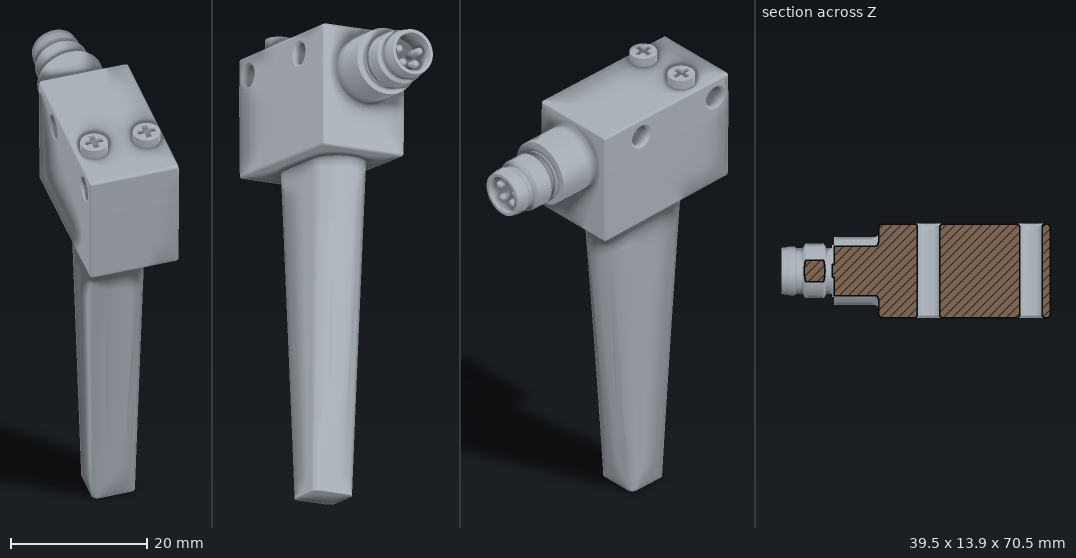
import cadquery as cq
import math


OVERALL_HEIGHT = 70.45

HOUSING_LENGTH = 25.3
HOUSING_WIDTH = 13.9
HOUSING_TOP = 6.5
HOUSING_BOTTOM_NEAR = -12.1
HOUSING_BOTTOM_FAR = -11.7
HOUSING_DRAFT = 0.5
HOUSING_EDGE_RADIUS = 0.5

HOLE_FIRST_X = 7.4
HOLE_SPACING = 15.0
HOLE_Z = 3.4
HOLE_DIAMETER = 3.25
HOLE_CHAMFER = 0.35

SLEEVE_RADIUS = 5.0
SLEEVE_LENGTH = 6.55
SLEEVE_ROOT_RADIUS = 0.5
SLEEVE_EMBED = 0.7
CONNECTOR_LENGTH = 14.2
PLUG_AXIS_Z = -0.3
NECK_RADIUS = 3.4
COLLAR_RADIUS = 4.0
COLLAR_START = 7.6
COLLAR_END = 11.1
COLLAR_CHAMFER = 0.4
SEAT_RING_RADIUS = 3.8
SEAT_RING_LENGTH = 0.3
BEAD_RADIUS = 3.6
BEAD_START = 12.1
BEAD_CHAMFER = 0.2
BEAD_END = 13.0
BORE_RADIUS = 2.9
BORE_DEPTH = 4.2

PIN_RADIUS = 0.55
PIN_LENGTH = 3.5
PIN_TIP_ROUNDING = 0.5
UPPER_PIN_Y = 1.7
UPPER_PIN_Z = 0.5
LOWER_PIN_Y = 1.05
LOWER_PIN_Z = -1.5

SCREW_X = 18.2
SCREW_SPACING = 8.1
SCREW_NECK_RADIUS = 1.05
SCREW_HEAD_RADIUS = 2.05
SCREW_HEAD_BOTTOM = 6.75
SCREW_PEAK = 8.4
DOME_RADIUS = 10.6
RECESS_LENGTH = 2.75
RECESS_WIDTH = 0.85
RECESS_DEPTH = 0.7
RECESS_CORNER = math.hypot(RECESS_WIDTH, RECESS_WIDTH) / 2
DOME_CENTRE_Z = SCREW_PEAK - math.sqrt(DOME_RADIUS**2 - RECESS_CORNER**2)
SCREW_HEAD_RIM = DOME_CENTRE_Z + math.sqrt(DOME_RADIUS**2 - SCREW_HEAD_RADIUS**2)
SCREW_HEAD_TOP = DOME_CENTRE_Z + DOME_RADIUS

LEVER_TOP_Z = HOUSING_BOTTOM_NEAR
LEVER_TIP_Z = SCREW_PEAK - OVERALL_HEIGHT
LEVER_BANDS_Z = (-22.0, -51.9)
LEVER_TOP_CENTRE_X = 12.1
LEVER_TOP_LENGTH = 16.6
LEVER_TOP_WIDTH = 8.45
LEVER_TIP_CENTRE_X = 12.2
LEVER_TIP_LENGTH = 6.6
LEVER_TIP_WIDTH = 6.7
LEVER_TIP_CORNER_RADIUS = 0.9
FLAT_END_BULGE = 0.001


def make_block():
    """Block drafted away from the parting plane, with rounded edges and a sloping underside."""
    def drafted_half(height):
        outline = (
            cq.Sketch()
            .rect(HOUSING_LENGTH, HOUSING_WIDTH)
            .vertices()
            .fillet(HOUSING_EDGE_RADIUS)
        )
        return (
            cq.Workplane("XY", origin=(HOUSING_LENGTH / 2, 0, 0))
            .placeSketch(outline)
            .extrude(height, taper=HOUSING_DRAFT)
        )

    underside_wedge = (
        cq.Workplane("XZ")
        .moveTo(0, HOUSING_BOTTOM_NEAR)
        .lineTo(HOUSING_LENGTH, HOUSING_BOTTOM_FAR)
        .lineTo(HOUSING_LENGTH, HOUSING_BOTTOM_NEAR)
        .close()
        .extrude(HOUSING_WIDTH / 2, both=True)
    )
    upper_half = drafted_half(HOUSING_TOP).faces(">Z").edges().fillet(HOUSING_EDGE_RADIUS)
    lower_half = drafted_half(HOUSING_BOTTOM_NEAR).cut(underside_wedge)
    lower_half = lower_half.faces("<Z").edges().fillet(HOUSING_EDGE_RADIUS)
    return upper_half.union(lower_half)


def cut_cross_holes(housing):
    """Through holes along Y, chamfered at both mouths."""
    half_width = HOUSING_WIDTH / 2
    hole_radius = HOLE_DIAMETER / 2
    mouth_radius = hole_radius + HOLE_CHAMFER
    for index in range(2):
        hole = (
            cq.Workplane("XY")
            .moveTo(0, -half_width)
            .lineTo(mouth_radius, -half_width)
            .lineTo(hole_radius, HOLE_CHAMFER - half_width)
            .lineTo(hole_radius, half_width - HOLE_CHAMFER)
            .lineTo(mouth_radius, half_width)
            .lineTo(0, half_width)
            .close()
            .revolve(360, (0, 0, 0), (0, 1, 0))
            .translate((HOLE_FIRST_X + index * HOLE_SPACING, 0, HOLE_Z))
        )
        housing = housing.cut(hole)
    return housing


def make_sleeve():
    """Round sleeve on the connector face, with a fillet at its root."""
    return (
        cq.Workplane("XZ")
        .moveTo(SLEEVE_EMBED, 0)
        .lineTo(SLEEVE_EMBED, SLEEVE_RADIUS + SLEEVE_ROOT_RADIUS)
        .lineTo(0, SLEEVE_RADIUS + SLEEVE_ROOT_RADIUS)
        .radiusArc((-SLEEVE_ROOT_RADIUS, SLEEVE_RADIUS), SLEEVE_ROOT_RADIUS)
        .lineTo(-SLEEVE_LENGTH, SLEEVE_RADIUS)
        .lineTo(-SLEEVE_LENGTH, 0)
        .close()
        .revolve(360, (0, 0, 0), (1, 0, 0))
    )


def make_plug():
    """Stepped plug turned about its own axis, with contact pins standing in its bore."""
    shell = (
        cq.Workplane("XZ")
        .moveTo(-SLEEVE_LENGTH, 0)
        .lineTo(-SLEEVE_LENGTH, SEAT_RING_RADIUS)
        .lineTo(-SLEEVE_LENGTH - SEAT_RING_LENGTH, SEAT_RING_RADIUS)
        .lineTo(-SLEEVE_LENGTH - SEAT_RING_LENGTH, NECK_RADIUS)
        .lineTo(-COLLAR_START, NECK_RADIUS)
        .lineTo(-COLLAR_START - COLLAR_CHAMFER, COLLAR_RADIUS)
        .lineTo(-COLLAR_END + COLLAR_CHAMFER, COLLAR_RADIUS)
        .lineTo(-COLLAR_END, NECK_RADIUS)
        .lineTo(-BEAD_START, NECK_RADIUS)
        .lineTo(-BEAD_START - BEAD_CHAMFER, BEAD_RADIUS)
        .lineTo(-BEAD_END, BEAD_RADIUS)
        .lineTo(-CONNECTOR_LENGTH, NECK_RADIUS)
        .lineTo(-CONNECTOR_LENGTH, BORE_RADIUS)
        .lineTo(-CONNECTOR_LENGTH + BORE_DEPTH, BORE_RADIUS)
        .lineTo(-CONNECTOR_LENGTH + BORE_DEPTH, 0)
        .close()
        .revolve(360, (0, 0, 0), (1, 0, 0))
    )
    pin_places = [
        (side * y, z)
        for side in (-1, 1)
        for y, z in ((UPPER_PIN_Y, UPPER_PIN_Z), (LOWER_PIN_Y, LOWER_PIN_Z))
    ]
    pins = (
        cq.Workplane("YZ", origin=(-CONNECTOR_LENGTH + BORE_DEPTH, 0, 0))
        .pushPoints(pin_places)
        .circle(PIN_RADIUS)
        .extrude(-PIN_LENGTH)
        .faces("<X")
        .edges()
        .fillet(PIN_TIP_ROUNDING)
    )
    return shell.union(pins).translate((0, 0, PLUG_AXIS_Z))


def make_screw(y):
    """Screw with a slightly domed head and a cross recess."""
    screw = (
        cq.Workplane("XZ")
        .moveTo(0, HOUSING_TOP - HOUSING_EDGE_RADIUS)
        .lineTo(SCREW_NECK_RADIUS, HOUSING_TOP - HOUSING_EDGE_RADIUS)
        .lineTo(SCREW_NECK_RADIUS, SCREW_HEAD_BOTTOM)
        .lineTo(SCREW_HEAD_RADIUS, SCREW_HEAD_BOTTOM)
        .lineTo(SCREW_HEAD_RADIUS, SCREW_HEAD_RIM)
        .radiusArc((0, SCREW_HEAD_TOP), -DOME_RADIUS)
        .close()
        .revolve(360, (0, 0, 0), (0, 1, 0))
    )
    recess = (
        cq.Workplane("XY", origin=(0, 0, SCREW_HEAD_TOP))
        .rect(RECESS_LENGTH, RECESS_WIDTH)
        .extrude(-RECESS_DEPTH)
        .union(
            cq.Workplane("XY", origin=(0, 0, SCREW_HEAD_TOP))
            .rect(RECESS_WIDTH, RECESS_LENGTH)
            .extrude(-RECESS_DEPTH)
        )
    )
    return screw.cut(recess).translate((SCREW_X, y, 0))


def make_housing():
    """Moulded housing with its connector and screws as one body."""
    housing = cut_cross_holes(make_block()).union(make_sleeve()).union(make_plug())
    for side in (-1, 1):
        housing = housing.union(make_screw(side * SCREW_SPACING / 2))
    return housing


def quarter_points(length, width, corner_radius, corner_start):
    """Points of one quarter outline, from the middle of the end to the start of the flat side.

    The corner arc runs from corner_start degrees, measured from the X direction, to 90 degrees.
    """
    def on_corner(degrees):
        angle = math.radians(degrees)
        return (
            length / 2 - corner_radius + corner_radius * math.cos(angle),
            width / 2 - corner_radius + corner_radius * math.sin(angle),
        )

    nose = (length / 2, 0)
    return nose, on_corner(corner_start), on_corner((corner_start + 90) / 2), on_corner(90)


def lever_section(z):
    """Closed lever outline at height z, blended linearly between the top and the tip."""
    share = (LEVER_TOP_Z - z) / (LEVER_TOP_Z - LEVER_TIP_Z)

    def blend(top, tip):
        return top + (tip - top) * share

    top_points = quarter_points(LEVER_TOP_LENGTH, LEVER_TOP_WIDTH, LEVER_TOP_WIDTH / 2, 45)
    tip_points = quarter_points(LEVER_TIP_LENGTH, LEVER_TIP_WIDTH, LEVER_TIP_CORNER_RADIUS, 0)
    nose, shoulder, corner, flank = [
        (blend(top[0], tip[0]), blend(top[1], tip[1])) for top, tip in zip(top_points, tip_points)
    ]
    centre_x = blend(LEVER_TOP_CENTRE_X, LEVER_TIP_CENTRE_X)

    def place(point, x_side, y_side):
        return cq.Vector(centre_x + x_side * point[0], y_side * point[1], z)

    def side_edges(side):
        """Edges of one end, then the flat side that follows it; side is 1 at the +X end."""
        low_shoulder = place(shoulder, side, -side)
        high_shoulder = place(shoulder, side, side)
        if nose[0] - shoulder[0] > FLAT_END_BULGE:
            end = cq.Edge.makeThreePointArc(low_shoulder, place(nose, side, 0), high_shoulder)
        else:
            end = cq.Edge.makeLine(low_shoulder, high_shoulder)
        return [
            cq.Edge.makeThreePointArc(
                place(flank, side, -side), place(corner, side, -side), low_shoulder
            ),
            end,
            cq.Edge.makeThreePointArc(
                high_shoulder, place(corner, side, side), place(flank, side, side)
            ),
            cq.Edge.makeLine(place(flank, side, side), place(flank, -side, side)),
        ]

    return cq.Wire.assembleEdges(side_edges(1) + side_edges(-1))


def make_lever():
    """Tapered lever ruled through its top, intermediate and tip sections."""
    heights = (LEVER_TOP_Z, *LEVER_BANDS_Z, LEVER_TIP_Z)
    return cq.Workplane(cq.Solid.makeLoft([lever_section(z) for z in heights], True))


housing = make_housing()
lever = make_lever()
result = cq.Compound.makeCompound([housing.solids().val(), lever.val()])